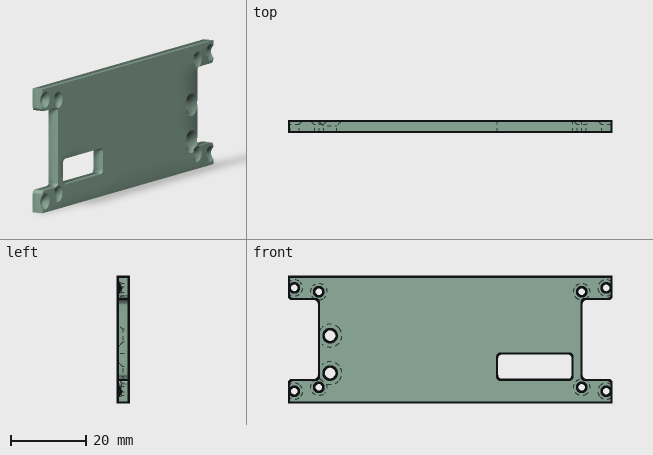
import cadquery as cq

length = 86.0
thickness = 3.0
height = 33.5
back_face = thickness / 2

notch_depth = 8.0
notch_height = 21.5
corner_radius = 1.0

window_length = 20.0
window_height = 7.0
window_x = 22.5
window_z = -7.2

screw_diameter = 2.4
screw_sink_diameter = 4.4
arm_hole_x = 41.5
arm_hole_z = 13.8
inner_hole_x = 35.0
inner_hole_z = 12.7

large_diameter = 3.4
large_sink_diameter = 6.2
large_hole_x = -32.0
large_hole_upper_z = 1.0
large_hole_spacing = 10.0


def block(size_x, size_z, x, z):
    """A full-thickness rectangular block centred at (x, z)."""
    return cq.Workplane("XY").box(size_x, thickness, size_z).translate((x, 0, z))


def countersunk_hole(x, z, hole_diameter, sink_diameter):
    """Cutter for a through hole with a 90-degree countersink on the back face."""
    hole_radius = hole_diameter / 2
    sink_radius = sink_diameter / 2
    sink_depth = sink_radius - hole_radius
    profile = [
        (0, -back_face),
        (hole_radius, -back_face),
        (hole_radius, back_face - sink_depth),
        (sink_radius, back_face),
        (0, back_face),
    ]
    cutter = cq.Workplane("XY").polyline(profile).close().revolve(360, (0, 0), (0, 1))
    return cutter.translate((x, 0, z))


plate = block(length, height, 0, 0)
for side in (-1, 1):
    plate = plate.cut(block(2 * notch_depth, notch_height, side * length / 2, 0))
notch_edges = cq.selectors.BoxSelector(
    (-length, -thickness, -notch_height / 2 - corner_radius),
    (length, thickness, notch_height / 2 + corner_radius),
)
plate = plate.edges("|Y").edges(notch_edges).fillet(corner_radius)

window = block(window_length, window_height, window_x, window_z)
plate = plate.cut(window.edges("|Y").fillet(corner_radius))

for side_x in (-1, 1):
    for side_z in (-1, 1):
        for x, z in ((arm_hole_x, arm_hole_z), (inner_hole_x, inner_hole_z)):
            plate = plate.cut(
                countersunk_hole(side_x * x, side_z * z, screw_diameter, screw_sink_diameter)
            )

for z in (large_hole_upper_z, large_hole_upper_z - large_hole_spacing):
    plate = plate.cut(countersunk_hole(large_hole_x, z, large_diameter, large_sink_diameter))

result = plate